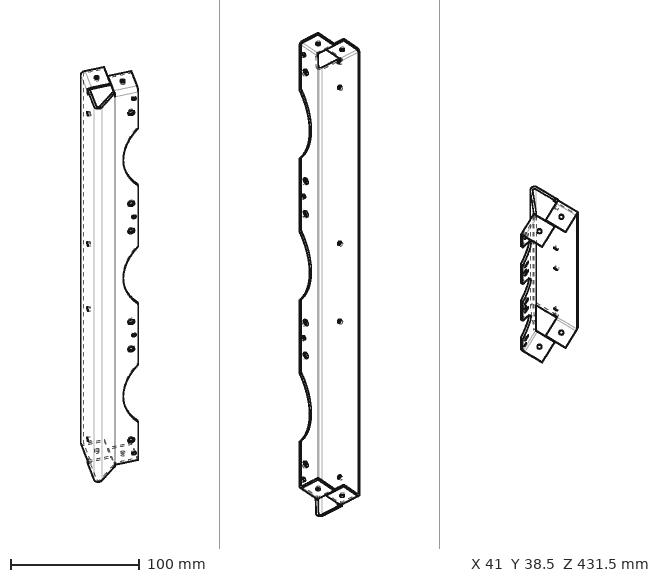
import cadquery as cq
import math

width = 41.0
depth = 38.5
height = 431.5

sheet = 2.0
outer_radius = 3.5
inner_radius = outer_radius - sheet
lean = math.radians(40)
half_body = height / 2 - 0.5
front_bend_start = height / 2 - outer_radius
web_bend_start = half_body - outer_radius

web_outer_x = 29.0
web_inner_x = web_outer_x - sheet
front_tab_width = 18.0
front_tab_reach = 19.0
web_tab_width = 19.0
web_tab_reach = 19.5
web_tab_start = depth - web_tab_width

small_hole = 3.32
tab_hole = 3.5
large_hole = 5.0
relief_hole = 3.32
relief_x = 20.0
relief_z = height / 2 - 3.0
front_hole_x = 19.5
front_hole_heights = (37.5, 187.7)
web_pitch = 136.5
small_hole_y = depth - 3.5
large_hole_y = depth - 5.5
large_hole_offset = 15.75
scallop_half_width = 33.2
scallop_depth = 12.0
front_tab_hole = (9.0, 10.5)
web_tab_hole = (17.5, 29.0)


def make_body():
    """Front wall, sloping wall and rear web as one constant section."""
    normal = (math.cos(lean), math.sin(lean))
    front_bend = (width - outer_radius, outer_radius)
    web_bend_x = web_outer_x + inner_radius
    offset = normal[0] * (front_bend[0] - web_bend_x) + normal[1] * front_bend[1]
    web_bend_y = (offset + outer_radius + inner_radius) / normal[1]
    web_bend = (web_bend_x, web_bend_y)

    def on_arc(centre, radius, angle):
        return (centre[0] + radius * math.cos(angle), centre[1] + radius * math.sin(angle))

    front_mid = (lean - math.pi / 2) / 2
    web_end = math.pi + lean
    web_mid = math.pi + lean / 2
    return (
        cq.Workplane("XY", origin=(0, 0, -half_body))
        .moveTo(0, 0)
        .lineTo(front_bend[0], 0)
        .threePointArc(on_arc(front_bend, outer_radius, front_mid), on_arc(front_bend, outer_radius, lean))
        .lineTo(*on_arc(web_bend, inner_radius, web_end))
        .threePointArc(on_arc(web_bend, inner_radius, web_mid), (web_outer_x, web_bend[1]))
        .lineTo(web_outer_x, depth)
        .lineTo(web_inner_x, depth)
        .lineTo(web_inner_x, web_bend[1])
        .threePointArc(on_arc(web_bend, outer_radius, web_mid), on_arc(web_bend, outer_radius, web_end))
        .lineTo(*on_arc(front_bend, inner_radius, lean))
        .threePointArc(on_arc(front_bend, inner_radius, front_mid), (front_bend[0], sheet))
        .lineTo(0, sheet)
        .close()
        .extrude(2 * half_body)
    )


def bent_tab(plane, reach, tab_width):
    """Quarter bend and flat tab; local x runs along the tab and local y is up."""
    diagonal = math.sqrt(0.5)
    outer_mid = outer_radius * (1 - diagonal)
    inner_mid = outer_radius - inner_radius * diagonal
    return (
        cq.Workplane(plane)
        .moveTo(0, -outer_radius)
        .threePointArc((outer_mid, -outer_mid), (outer_radius, 0))
        .lineTo(reach, 0)
        .lineTo(reach, -sheet)
        .lineTo(outer_radius, -sheet)
        .threePointArc((inner_mid, -inner_mid), (sheet, -outer_radius))
        .close()
        .extrude(tab_width)
    )


def drill_z(x, y, diameter):
    start = cq.Workplane("XY", origin=(x, y, web_bend_start))
    return start.circle(diameter / 2).extrude(height / 2 - web_bend_start)


def drill_front(x, z, diameter):
    return cq.Workplane("XZ", origin=(x, sheet, z)).circle(diameter / 2).extrude(sheet)


def drill_web(y, z, diameter):
    return cq.Workplane("YZ", origin=(web_inner_x, y, z)).circle(diameter / 2).extrude(sheet)


def both_ends(shape):
    return shape.union(shape.mirror("XY"))


front_plane = cq.Plane(origin=(0, 0, height / 2), xDir=(0, 1, 0), normal=(1, 0, 0))
web_plane = cq.Plane(origin=(web_outer_x, web_tab_start, half_body), xDir=(-1, 0, 0), normal=(0, 1, 0))
front_tab = bent_tab(front_plane, front_tab_reach, front_tab_width).cut(drill_z(*front_tab_hole, tab_hole))
web_tab = bent_tab(web_plane, web_tab_reach, web_tab_width).cut(drill_z(*web_tab_hole, tab_hole))

front_clearance = cq.Workplane("XY", origin=(0, 0, front_bend_start)).rect(
    front_tab_width, sheet, centered=False).extrude(outer_radius)
web_clearance = cq.Workplane("XY", origin=(web_inner_x, web_tab_start, web_bend_start)).rect(
    sheet, web_tab_width, centered=False).extrude(outer_radius)

result = make_body()
for clearance, tab in ((front_clearance, front_tab), (web_clearance, web_tab)):
    result = result.cut(both_ends(clearance)).union(both_ends(tab))

result = result.cut(both_ends(drill_front(relief_x, relief_z, relief_hole)))
for z in front_hole_heights:
    result = result.cut(both_ends(drill_front(front_hole_x, z, small_hole)))

scallop_radius = (scallop_half_width**2 + scallop_depth**2) / (2 * scallop_depth)
scallop_y = depth - scallop_depth + scallop_radius
for step in (-1, 0, 1):
    result = result.cut(drill_web(scallop_y, step * web_pitch, 2 * scallop_radius))

for step in (0.5, 1.5):
    z = step * web_pitch
    result = result.cut(both_ends(drill_web(small_hole_y, z, small_hole)))
    result = result.cut(both_ends(drill_web(large_hole_y, z - large_hole_offset, large_hole)))
inner_large_z = web_pitch / 2 + large_hole_offset
result = result.cut(both_ends(drill_web(large_hole_y, inner_large_z, large_hole)))